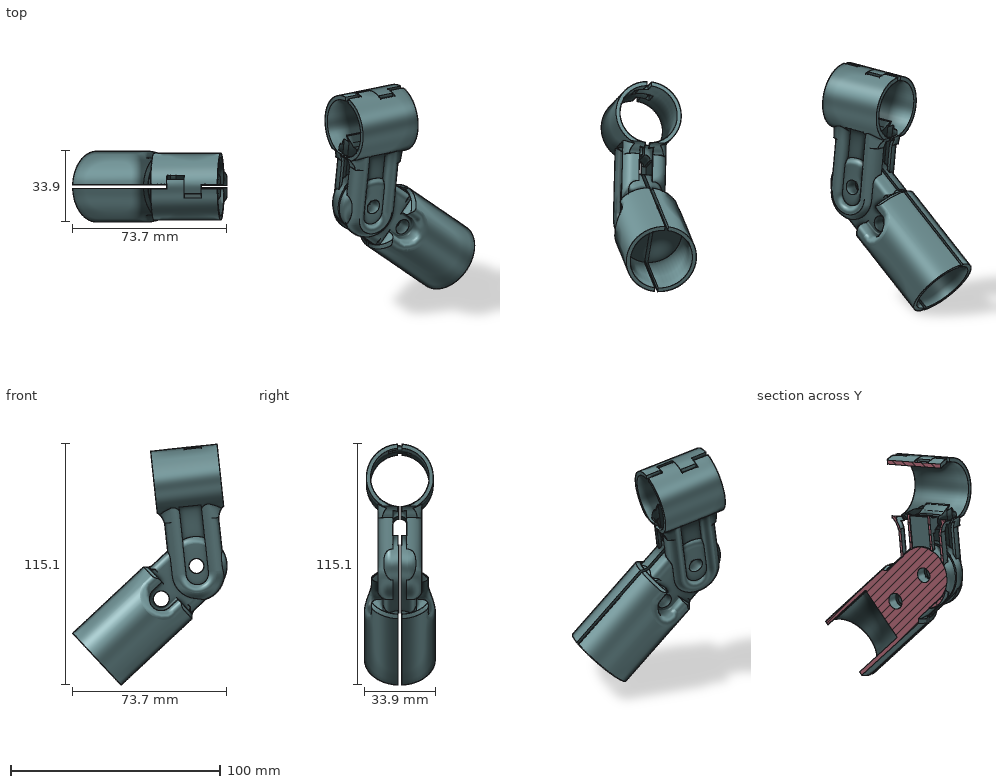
import cadquery as cq
import math

upper_tilt = -6.1
lower_tilt = 46.9
pivot_hole_d = 7.0
lock_hole_d = 7.5
lock_offset = 23.0
reach = 230.2

ring_r = 16.0
ring_wall = 2.01
ring_half_length = 16.0
ring_height = 40.9
ring_split = 1.09
finger_width = 8.3
finger_reach = 3.5
notch_depth = 5.4
ring_bore_r = ring_r - ring_wall

arm_sheet = 1.5
arm_half_width = 13.0
arm_end = -3.6
arm_inner_y = 3.28
arm_edge_y = 4.5
crest_r = 8.5
crest_y = 10.53
rim_inner_r = 3.2
ridge_r = 9.4
channel_floor_y = 6.0
channel_top = 28.8
channel_half_width = crest_r - rim_inner_r
channel_wall_r = channel_half_width + arm_sheet
rim_round_y = crest_y - rim_inner_r

neck_split = 0.52
neck_bottom = 23.0
arch_r = 2.5
flare_bottom = 20.7
flare_top = 27.2
shoulder_bottom = 21.9
shoulder_mid = (13.1, 8.3)

pad_top = 27.8
pad_flat_y = 3.2
pad_side_y = 9.8
pad_side_top = 31.4

socket_r = 16.97
socket_wall = 2.0
socket_split = 0.8
socket_far = -65.1
socket_near = -17.3
socket_chamfer = 1.5
bore_end = -34.5
socket_bore_r = socket_r - socket_wall

tab_half_width = 14.6
tab_half_thickness = 8.0
tab_round = 4.0
tab_root = socket_near - 5.8
root_collar_r = 15.4
root_collar_height = 1.7
lip_split = 0.5

pocket_half_width = 5.6
pocket_rim_round = 3.3
pocket_floor_round = 1.2


def y_cylinder(radius, z, y_start, y_end):
    """Cylinder along Y between two Y limits, centred at x = 0 and height z."""
    base = cq.Workplane("XZ", origin=(0, y_start, z)).circle(radius)
    return base.extrude(y_start - y_end)


def x_cylinder(radius, z):
    """Cylinder along X, as long as the ring."""
    base = cq.Workplane("YZ", origin=(-ring_half_length, 0, z)).circle(radius)
    return base.extrude(2 * ring_half_length)


def z_cylinder(radius, z_start, z_end):
    """Cylinder along Z between two heights."""
    return cq.Workplane("XY", origin=(0, 0, z_start)).circle(radius).extrude(z_end - z_start)


def block(x_range, y_range, z_range):
    """Box between pairs of limits."""
    size = [high - low for low, high in (x_range, y_range, z_range)]
    corner = (x_range[0], y_range[0], z_range[0])
    return cq.Workplane("XY").box(*size, centered=False).translate(corner)


def tilt(body, angle):
    """Swing a body about the pivot."""
    return body.rotate((0, 0, 0), (0, 1, 0), angle)


def rim_profile():
    """Half cross-section of the arm: flat edge, rounded rim, channel wall and floor."""
    ridge_y = rim_round_y + math.sqrt(rim_inner_r**2 - (ridge_r - crest_r) ** 2)
    return (
        cq.Workplane("XY")
        .moveTo(0, channel_floor_y - arm_sheet)
        .lineTo(channel_wall_r, channel_floor_y - arm_sheet)
        .lineTo(channel_wall_r, arm_inner_y)
        .lineTo(arm_half_width, arm_inner_y)
        .lineTo(arm_half_width, arm_edge_y)
        .tangentArcPoint((ridge_r, ridge_y), relative=False)
        .threePointArc((crest_r, crest_y), (channel_half_width, rim_round_y))
        .lineTo(channel_half_width, channel_floor_y)
        .lineTo(0, channel_floor_y)
        .close()
    )


def hollow_profile():
    """Half cross-section of the space inside the rim, open towards the mid plane."""
    return (
        cq.Workplane("XY")
        .moveTo(channel_wall_r, 0)
        .lineTo(arm_half_width - arm_sheet, 0)
        .lineTo(arm_half_width - arm_sheet, arm_edge_y)
        .tangentArcPoint((crest_r, crest_y - arm_sheet), relative=False)
        .lineTo(channel_wall_r, rim_round_y)
        .close()
    )


def shoulder_profile(inset, inner_y):
    """Half cross-section of a shoulder, drawn in from its outer face by the inset."""
    step = inset * math.sqrt(0.5)
    return (
        cq.Workplane("XY", origin=(0, 0, shoulder_bottom))
        .moveTo(crest_r, inner_y)
        .lineTo(ring_half_length - inset, inner_y)
        .lineTo(ring_half_length - inset, arm_edge_y)
        .threePointArc(
            (shoulder_mid[0] - step, shoulder_mid[1] - step),
            (crest_r, crest_y - inset),
        )
        .close()
    )


def both_sides(solid):
    """A solid together with its mirror image across the arm's centre plane."""
    return solid.union(solid.mirror("YZ"))


def along_arm(profile):
    """Carry the half cross-section that a function draws around the lower end and up both sides."""
    below_end = block((-reach, reach), (0, reach), (-reach, arm_end))
    turned = profile().revolve(360, (0, 0, 0), (0, 1, 0)).translate((0, 0, arm_end))
    side = profile().extrude(ring_height - ring_r / 2 - arm_end).translate((0, 0, arm_end))
    return turned.intersect(below_end).union(both_sides(side))


def arm_shell():
    """Arm and shoulders, still filled inside the rim."""
    shoulder_height = channel_top - shoulder_bottom
    shoulder = shoulder_profile(0, arm_inner_y).extrude(shoulder_height)
    return along_arm(rim_profile).union(both_sides(shoulder))


def rim_hollow():
    """Space inside the rim and shoulders, which opens into the ring bore."""
    shoulder_height = channel_top - shoulder_bottom
    shoulder = shoulder_profile(arm_sheet, 0).extrude(shoulder_height)
    space = along_arm(hollow_profile).union(both_sides(shoulder))
    return space.intersect(flare_outline(arm_sheet))


def ring_half():
    """Half ring with one finger and one notch, which interlock with the turned twin."""
    ring = x_cylinder(ring_r, ring_height).cut(x_cylinder(ring_bore_r, ring_height))
    half = ring.intersect(block((-reach, reach), (ring_split, reach), (0, reach)))
    notch = block((-finger_width, 0), (0, notch_depth), (ring_height, reach))
    finger_box = block((0, finger_width), (-finger_reach, notch_depth), (ring_height, reach))
    return half.cut(notch).union(ring.intersect(finger_box))


def neck_web():
    """Web that closes the arm towards the mid plane, with an arched lower corner."""
    arch_start_y = arm_inner_y - arch_r
    arch_end_z = neck_bottom - arch_r
    arch_step = arch_r * math.sqrt(0.5)
    return (
        cq.Workplane("YZ", origin=(-channel_wall_r, 0, 0))
        .moveTo(neck_split, neck_bottom)
        .lineTo(arch_start_y, neck_bottom)
        .threePointArc((arch_start_y + arch_step, arch_end_z + arch_step), (arm_inner_y, arch_end_z))
        .lineTo(channel_floor_y, arch_end_z)
        .lineTo(channel_floor_y, pad_top)
        .lineTo(neck_split, pad_top)
        .close()
        .extrude(2 * channel_wall_r)
    )


def pad():
    """Pad across the bottom of the bore, flat in the middle and rising to the side."""
    ring_bottom = ring_height - ring_r
    section = [
        (neck_split, ring_bottom),
        (neck_split, pad_top),
        (pad_flat_y, pad_top),
        (pad_side_y, pad_side_top),
        (pad_side_y, ring_bottom),
    ]
    bar = cq.Workplane("YZ", origin=(-channel_wall_r, 0, 0)).polyline(section).close()
    return bar.extrude(2 * channel_wall_r).intersect(x_cylinder(ring_r, ring_height))


def flare_outline(inset):
    """Side outline that narrows in an arc from the ring to the arm, drawn in by the inset."""
    narrow = arm_half_width - inset
    widening = ring_half_length - arm_half_width
    rise = flare_top - flare_bottom
    flare_r = (widening**2 + rise**2) / (2 * widening)
    half_angle = math.asin(rise / flare_r) / 2
    flare_mid = (
        narrow + flare_r * (1 - math.cos(half_angle)),
        flare_bottom + flare_r * math.sin(half_angle),
    )
    return (
        cq.Workplane("XZ", origin=(0, reach / 2, 0))
        .moveTo(0, -reach)
        .lineTo(narrow, -reach)
        .lineTo(narrow, flare_bottom)
        .threePointArc(flare_mid, (narrow + widening, flare_top))
        .lineTo(narrow + widening, reach)
        .lineTo(0, reach)
        .mirrorY()
        .extrude(reach)
    )


def channel():
    """Open channel where the arm runs under the ring."""
    return block(
        (-channel_half_width, channel_half_width),
        (channel_floor_y, reach),
        (flare_bottom, channel_top),
    )


def clamp_half():
    bore = x_cylinder(ring_bore_r, ring_height)
    shell = ring_half().union(arm_shell().cut(bore)).cut(rim_hollow())
    body = shell.union(neck_web().cut(bore)).union(pad())
    return body.cut(channel()).intersect(flare_outline(0))


def tab():
    """Round-nosed plate around the pivot with rounded outer edges."""
    outline = (
        cq.Workplane("XZ", origin=(0, tab_half_thickness, 0))
        .moveTo(-tab_half_width, tab_root)
        .lineTo(-tab_half_width, 0)
        .threePointArc((0, tab_half_width), (tab_half_width, 0))
        .lineTo(tab_half_width, tab_root)
        .close()
        .extrude(2 * tab_half_thickness)
    )
    return outline.faces("<Y or >Y").edges("not <Z").fillet(tab_round)


def tab_root_collar():
    """Tapered collar that spreads the tab into the end of the tube."""
    taper = root_collar_r - tab_half_width
    collar = z_cylinder(root_collar_r, socket_near, socket_near + root_collar_height)
    collar = collar.faces(">Z").chamfer(root_collar_height - 0.1, taper)
    sides = (-tab_half_thickness, tab_half_thickness)
    return collar.intersect(block((-reach, reach), sides, (-reach, reach)))


def pocket_side(side):
    """Pocket from the tab face outwards on the side given by its sign."""
    round_end = y_cylinder(pocket_half_width, -lock_offset, tab_half_thickness, reach)
    mouth = block(
        (-pocket_half_width, pocket_half_width),
        (tab_half_thickness, reach),
        (-lock_offset, 0),
    )
    cutter = round_end.union(mouth)
    cutter = cutter.faces("<Y").edges("not >Z").fillet(pocket_floor_round)
    return cutter if side > 0 else cutter.mirror("XZ")


def socket_tube():
    tube = z_cylinder(socket_r, socket_far, socket_near)
    pocket_bottom = -lock_offset - pocket_half_width
    for side in (1, -1):
        tube = tube.cut(pocket_side(side))
        near_corner = (-pocket_half_width - 1.2, side * (tab_half_thickness + 2.3), pocket_bottom - 1.2)
        far_corner = (pocket_half_width + 1.2, side * reach, socket_near - 0.1)
        rim = cq.selectors.BoxSelector(near_corner, far_corner)
        tube = tube.edges(rim).fillet(pocket_rim_round)
    envelope = z_cylinder(socket_r, socket_far, socket_near).faces(">Z").chamfer(socket_chamfer)
    return tube.intersect(envelope).cut(z_cylinder(socket_bore_r, socket_far, bore_end))


def socket_halves():
    """Both halves of the socket, parted along the mid plane."""
    whole = socket_tube().union(tab_root_collar()).union(tab())
    lip_zone = block((0, reach), (-socket_split, socket_split), (socket_near, reach))
    lip = tab().intersect(lip_zone)
    pivot_hole = y_cylinder(pivot_hole_d / 2, 0, -reach, reach)
    lock_hole = y_cylinder(lock_hole_d / 2, -lock_offset, -reach, reach)
    split = block((-reach, reach), (-socket_split, socket_split), (-reach, reach))
    lip_gap = block((-reach, reach), (-lip_split, lip_split), (-reach, reach))
    parted = whole.cut(split).union(lip.cut(lip_gap)).cut(pivot_hole).cut(lock_hole)
    sides = [(-reach, 0), (0, reach)]
    return [parted.intersect(block((-reach, reach), s, (-reach, reach))) for s in sides]


sockets = [tilt(half, lower_tilt) for half in socket_halves()]
tab_seat = tilt(tab(), lower_tilt)
clamp = clamp_half()
clamps = []
for turn in (0, 180):
    placed = tilt(clamp.rotate((0, 0, 0), (0, 0, 1), turn), upper_tilt)
    clamps.append(placed.cut(tab_seat))

bodies = [solid for body in sockets + clamps for solid in body.vals()]
result = cq.Compound.makeCompound(bodies)